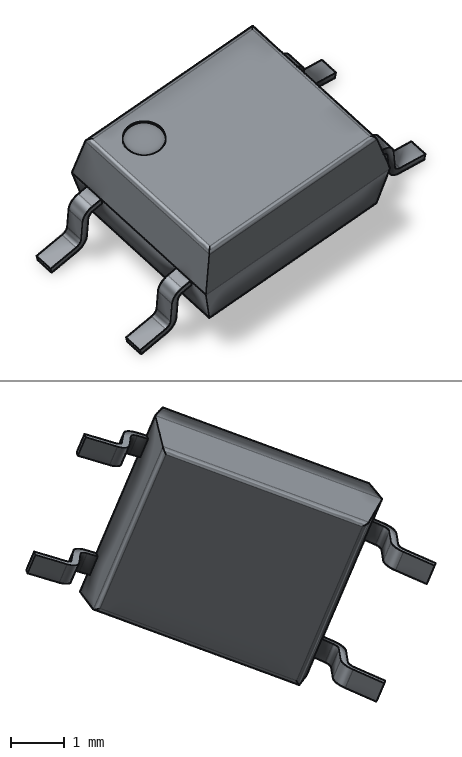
import cadquery as cq
import math

BODY_WIDTH = 3.8
BODY_LENGTH = 4.54
BODY_TOP = 1.0
BODY_BOTTOM = -1.1
SIDE_INSET = 0.155
END_INSET = 0.225
RIM_RADIUS = 0.1

MARK_X = -1.05
MARK_Y = -1.23
MARK_RADIUS = 0.4
MARK_DEPTH = 0.05

OVERALL_LENGTH = 7.03
LEAD_WIDTH = 0.4
LEAD_THICKNESS = 0.15
LEAD_PITCH = 2.54
LEAD_BOTTOM = -1.2
LEAD_EMBED = 0.16
SHOULDER_REACH = 0.44
LEAD_SLOPE = math.radians(10)
WEB_SLOPE = math.radians(86)
INNER_BEND_RADIUS = 0.15
OUTER_BEND_RADIUS = INNER_BEND_RADIUS + LEAD_THICKNESS


def body_half(end_z):
    """Tapered half of the body, from the parting plane to end_z, with a rounded rim."""
    half = (
        cq.Workplane("XY")
        .rect(BODY_WIDTH, BODY_LENGTH)
        .workplane(offset=end_z)
        .rect(BODY_WIDTH - 2 * SIDE_INSET, BODY_LENGTH - 2 * END_INSET)
        .loft(ruled=True)
    )
    rim = ">Z" if end_z > 0 else "<Z"
    return half.faces(rim).edges().fillet(RIM_RADIUS)


def below(point, slope, distance):
    """Point offset square to a strip that falls outward at the given slope."""
    y, z = point
    return (y - distance * math.sin(slope), z - distance * math.cos(slope))


def make_lead():
    """Gull-wing lead on the +Y end, centred on X = 0."""
    edge_y = BODY_LENGTH / 2
    tip_y = OVERALL_LENGTH / 2
    fall = math.tan(LEAD_SLOPE)
    root = (edge_y - LEAD_EMBED, LEAD_EMBED * fall)
    shoulder = (edge_y + SHOULDER_REACH, -SHOULDER_REACH * fall)
    tip = (tip_y, LEAD_BOTTOM + LEAD_THICKNESS * math.cos(LEAD_SLOPE))

    drop = shoulder[1] - tip[1]
    run = tip[0] - shoulder[0]
    web_run = (drop - run * fall) / (math.tan(WEB_SLOPE) - fall)
    heel = (shoulder[0] + web_run, shoulder[1] - web_run * math.tan(WEB_SLOPE))

    bisector = (LEAD_SLOPE + WEB_SLOPE) / 2
    miter = LEAD_THICKNESS / math.cos((WEB_SLOPE - LEAD_SLOPE) / 2)
    lower_shoulder = below(shoulder, bisector, miter)
    lower_heel = below(heel, bisector, miter)
    outline = [
        root,
        shoulder,
        heel,
        tip,
        below(tip, LEAD_SLOPE, LEAD_THICKNESS),
        lower_heel,
        lower_shoulder,
        below(root, LEAD_SLOPE, LEAD_THICKNESS),
    ]
    lead = cq.Workplane("YZ").polyline(outline).close().extrude(LEAD_WIDTH / 2, both=True)

    bends = [
        (shoulder, OUTER_BEND_RADIUS),
        (lower_shoulder, INNER_BEND_RADIUS),
        (heel, INNER_BEND_RADIUS),
        (lower_heel, OUTER_BEND_RADIUS),
    ]
    for (y, z), radius in bends:
        corner = cq.selectors.NearestToPointSelector((0, y, z))
        lead = lead.edges("|X").edges(corner).fillet(radius)
    return lead


mark = (
    cq.Workplane("XY", origin=(MARK_X, MARK_Y, BODY_TOP - MARK_DEPTH))
    .circle(MARK_RADIUS)
    .extrude(MARK_DEPTH)
)
result = body_half(BODY_TOP).union(body_half(BODY_BOTTOM)).cut(mark)

lead = make_lead()
for end_lead in (lead, lead.mirror("XZ")):
    for x in (-LEAD_PITCH / 2, LEAD_PITCH / 2):
        result = result.union(end_lead.translate((x, 0, 0)))